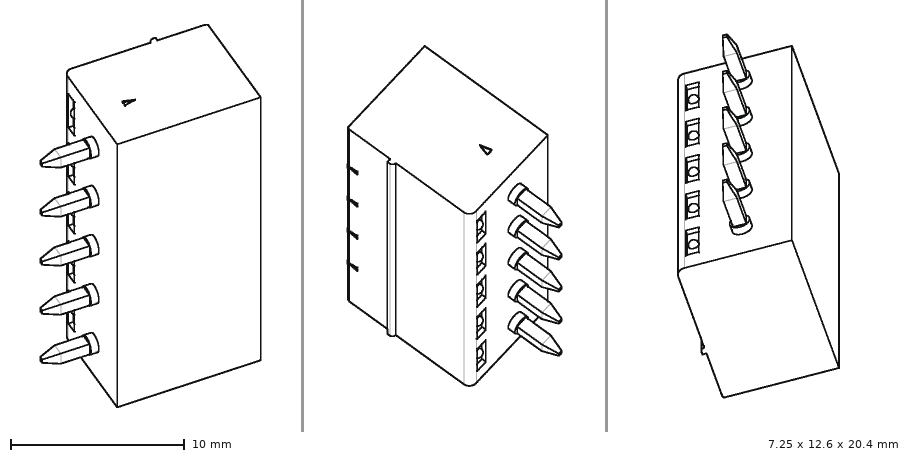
import cadquery as cq

BODY_WIDTH = 7.0
BODY_DEPTH = 9.2
BODY_HEIGHT = 20.44
FRONT_EDGE_RADIUS = 0.5
BACK_BEVEL_LENGTH = 0.15
BACK_BEVEL_INSET = 0.065

RIB_PROJECTION = 0.25
RIB_THICKNESS = 0.42
RIB_BACK_INSET = 3.2
RIB_RADIUS = RIB_PROJECTION

CONTACT_COUNT = 5
PITCH = 3.81
FIRST_CONTACT_Z = (BODY_HEIGHT - (CONTACT_COUNT - 1) * PITCH) / 2
CONTACT_HEIGHTS = [FIRST_CONTACT_Z + i * PITCH for i in range(CONTACT_COUNT)]

PIN_X = 4.0
COLLAR_DIAMETER = 1.2
COLLAR_LENGTH = 0.5
PIN_SIDE = 0.8
PIN_LENGTH = 3.4
TIP_LENGTH = 1.05
TIP_SIDE = 0.26

WINDOW_X = 1.0
WINDOW_WIDTH = 0.8
WINDOW_HEIGHT = 2.6
WINDOW_DEPTH = 0.3
DOME_RADIUS = 0.32

ARROW_LENGTH = 0.75
ARROW_WIDTH = 0.4
ARROW_DEPTH = 0.1
TOP_ARROW_BASE_Y = 1.88
SIDE_ARROW_BASE_Y = BODY_DEPTH - ARROW_LENGTH
SIDE_ARROW_HEIGHTS = [z + PITCH / 2 for z in CONTACT_HEIGHTS[:-1]]


def make_body():
    block = cq.Workplane("XY").box(BODY_WIDTH, BODY_DEPTH, BODY_HEIGHT, centered=False)
    return block.edges("|Z and <X and <Y").fillet(FRONT_EDGE_RADIUS)


def make_back_bevel(bottom_z, top_z):
    """Shallow wedge cut along the back edge of the left face, between two heights."""
    points = [
        (0, BODY_DEPTH - BACK_BEVEL_LENGTH),
        (0, BODY_DEPTH),
        (BACK_BEVEL_INSET, BODY_DEPTH),
    ]
    return cq.Workplane("XY", origin=(0, 0, bottom_z)).polyline(points).close().extrude(top_z - bottom_z)


def make_rib():
    """Full-height rib with its outer front edge rounded, rooted inside the block."""
    root_depth = RIB_PROJECTION
    front_y = BODY_DEPTH - RIB_BACK_INSET - RIB_THICKNESS
    rib = cq.Workplane("XY").box(RIB_PROJECTION + root_depth, RIB_THICKNESS, BODY_HEIGHT, centered=False)
    rib = rib.edges("|Z and <X and <Y").fillet(RIB_RADIUS)
    return rib.translate((-RIB_PROJECTION, front_y, 0))


def front_plane(x, y, z):
    """Workplane at a point, facing out of the front of the block (-Y)."""
    return cq.Workplane("XZ", origin=(x, y, z))


def make_pin(z):
    """Round collar, square shaft and tapered tip."""
    shaft_length = PIN_LENGTH - TIP_LENGTH
    collar = front_plane(PIN_X, 0, z).circle(COLLAR_DIAMETER / 2).extrude(COLLAR_LENGTH)
    shaft = front_plane(PIN_X, 0, z).rect(PIN_SIDE, PIN_SIDE).extrude(shaft_length)
    tip = (
        front_plane(PIN_X, -shaft_length, z)
        .rect(PIN_SIDE, PIN_SIDE)
        .workplane(offset=TIP_LENGTH)
        .rect(TIP_SIDE, TIP_SIDE)
        .loft(ruled=True)
    )
    return collar.union(shaft).union(tip)


def make_window(z):
    return front_plane(WINDOW_X, WINDOW_DEPTH, z).rect(WINDOW_WIDTH, WINDOW_HEIGHT).extrude(WINDOW_DEPTH)


def make_dome(z):
    """Ball half sunk into the window floor."""
    return cq.Workplane("XY").sphere(DOME_RADIUS).translate((WINDOW_X, WINDOW_DEPTH, z))


def make_top_arrow():
    half = ARROW_WIDTH / 2
    points = [
        (PIN_X - half, TOP_ARROW_BASE_Y),
        (PIN_X + half, TOP_ARROW_BASE_Y),
        (PIN_X, TOP_ARROW_BASE_Y + ARROW_LENGTH),
    ]
    return cq.Workplane("XY", origin=(0, 0, BODY_HEIGHT)).polyline(points).close().extrude(-ARROW_DEPTH)


def make_side_arrow(z):
    half = ARROW_WIDTH / 2
    points = [
        (SIDE_ARROW_BASE_Y, z - half),
        (SIDE_ARROW_BASE_Y, z + half),
        (SIDE_ARROW_BASE_Y + ARROW_LENGTH, z),
    ]
    return cq.Workplane("YZ").polyline(points).close().extrude(ARROW_DEPTH)


result = make_body().union(make_rib()).cut(make_top_arrow())

for contact_z in CONTACT_HEIGHTS:
    result = result.cut(make_window(contact_z))
    result = result.union(make_dome(contact_z)).union(make_pin(contact_z))

bevel_start = 0
for arrow_z in SIDE_ARROW_HEIGHTS:
    result = result.cut(make_side_arrow(arrow_z))
    result = result.cut(make_back_bevel(bevel_start, arrow_z - ARROW_WIDTH / 2))
    bevel_start = arrow_z + ARROW_WIDTH / 2
result = result.cut(make_back_bevel(bevel_start, BODY_HEIGHT))